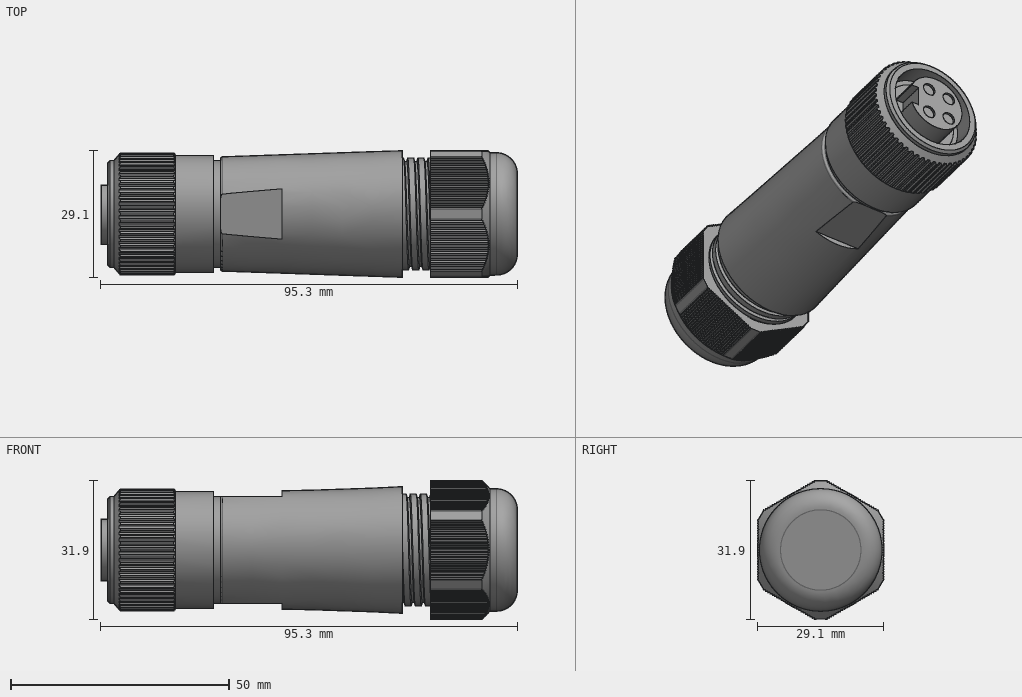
import cadquery as cq
import math


insert_radius = 7.05
insert_base_radius = 9.05
insert_base_front = 6.6
insert_end = 20.0
keyway_width = 5.0
keyway_floor_y = 4.75
contact_hole_radius = 1.55
contact_hole_depth = 0.5
contact_hole_centres = [(1.87, 3.3), (1.87, -3.3), (-3.47, 2.87), (-3.47, -2.87)]

coupling_front = 1.5
coupling_bore_radius = 10.2
lip_radius = 12.3
lip_chamfer = 0.6
lip_end = 2.95
knurl_radius = 14.0
knurl_start = 4.45
knurl_end = 16.6
knurl_groove_count = 56
knurl_groove_depth = 0.4
knurl_groove_width = 1.15
knurl_groove_floor_width = 0.5
collar_start = 17.1
collar_radius = 13.45
coupling_end = 25.8

neck_radius = 12.3
sleeve_start = 27.35
sleeve_end = 69.0
sleeve_start_radius = 13.1
sleeve_end_radius = 14.53
sleeve_fillet = 0.5
grip_flat_height = 12.3
grip_flat_end = 41.4

thread_radius = 12.85
thread_end = 86.0
thread_pitch = 2.33
thread_depth = 0.8
thread_mouth_width = 1.0
thread_root_width = 0.5
thread_first_turn = 67.4
thread_turns = 4

clamp_front = 75.4
clamp_chamfer_start = 87.25
clamp_rib_distance = 14.53
clamp_corner_distance = 15.855
dome_radius = 14.05
dome_cylinder_end = 90.5
overall_length = 95.34
rib_count = 24
rib_height = 0.28


def revolved(outline):
    """Revolve a closed (x, radius) outline about the X axis."""
    lower_half = [(x, -radius) for x, radius in outline]
    return cq.Workplane("XY").polyline(lower_half).close().revolve(360, (0, 0, 0), (1, 0, 0))


def cylinder(start, end, radius):
    return cq.Workplane("YZ", origin=(start, 0, 0)).circle(radius).extrude(end - start)


def make_insert():
    post = cylinder(0, insert_base_front, insert_radius)
    base = cylinder(insert_base_front, insert_end, insert_base_radius)
    keyway = cq.Workplane("XY").box(
        insert_base_front, insert_radius, keyway_width, centered=(False, False, True)
    ).translate((0, keyway_floor_y, 0))
    holes = (
        cq.Workplane("YZ").pushPoints(contact_hole_centres)
        .circle(contact_hole_radius).extrude(contact_hole_depth)
    )
    return post.union(base).cut(keyway).cut(holes)


def make_coupling_nut():
    outline = [
        (coupling_front, coupling_bore_radius),
        (coupling_front, lip_radius - lip_chamfer),
        (coupling_front + lip_chamfer, lip_radius),
        (lip_end, lip_radius),
        (knurl_start, knurl_radius),
        (knurl_end, knurl_radius),
        (collar_start, collar_radius),
        (coupling_end, collar_radius),
        (coupling_end, coupling_bore_radius),
    ]
    groove_profile = [
        (knurl_radius - knurl_groove_depth, -knurl_groove_floor_width / 2),
        (knurl_radius - knurl_groove_depth, knurl_groove_floor_width / 2),
        (knurl_radius, knurl_groove_width / 2),
        (knurl_radius + knurl_groove_depth, knurl_groove_width / 2),
        (knurl_radius + knurl_groove_depth, -knurl_groove_width / 2),
        (knurl_radius, -knurl_groove_width / 2),
    ]
    groove = (
        cq.Workplane("YZ", origin=(lip_end, 0, 0)).polyline(groove_profile).close()
        .extrude(collar_start - lip_end)
    )
    step_angle = 360 / knurl_groove_count
    grooves = [
        groove.rotate((0, 0, 0), (1, 0, 0), (i + 0.5) * step_angle).val() for i in range(knurl_groove_count)
    ]
    return cq.Workplane(revolved(outline).val().cut(*grooves))


def make_thread_groove():
    """Right-handed helical groove, built along Z and then turned onto the X axis."""
    groove_root_radius = thread_radius - thread_depth
    helix = cq.Wire.makeHelix(thread_pitch, thread_turns * thread_pitch, groove_root_radius)
    overshoot = 0.3
    flank_slope = (thread_mouth_width - thread_root_width) / 2 / thread_depth
    outer_half_width = thread_mouth_width / 2 + overshoot * flank_slope
    profile = [
        (groove_root_radius, -thread_root_width / 2),
        (thread_radius + overshoot, -outer_half_width),
        (thread_radius + overshoot, outer_half_width),
        (groove_root_radius, thread_root_width / 2),
    ]
    groove = cq.Workplane("XZ").polyline(profile).close().sweep(cq.Workplane(helix), isFrenet=True)
    return groove.rotate((0, 0, 0), (1, 1, 1), 120).translate((thread_first_turn, 0, 0))


def make_housing():
    front = cylinder(insert_base_front, coupling_end, coupling_bore_radius)
    neck = cylinder(coupling_end, sleeve_start, neck_radius)
    sleeve = revolved([
        (sleeve_start, 0),
        (sleeve_start, sleeve_start_radius),
        (sleeve_end, sleeve_end_radius),
        (sleeve_end, 0),
    ])
    sleeve = sleeve.faces("<X").edges().fillet(sleeve_fillet)
    for side in (1, -1):
        flat = cq.Workplane("XY").box(
            grip_flat_end - sleeve_start, 2 * sleeve_end_radius, sleeve_end_radius,
            centered=(False, True, True),
        ).translate((sleeve_start, 0, side * (grip_flat_height + sleeve_end_radius / 2)))
        sleeve = sleeve.cut(flat)
    stub_start = thread_first_turn - thread_pitch
    stub = cylinder(stub_start, thread_end, thread_radius).cut(make_thread_groove())
    socket = cylinder(insert_base_front, insert_end, insert_base_radius)
    return stub.union(sleeve).union(neck).union(front).cut(socket)


def clamp_section():
    """Hexagon with cut corners whose six sides carry V-shaped ribs."""
    flat_distance = clamp_rib_distance - rib_height
    corner = flat_distance / math.cos(math.pi / 6)
    half_side = corner / 2 - (corner - clamp_corner_distance) / math.sin(math.pi / 6)
    rib_pitch = 2 * half_side / rib_count
    points = []
    for side in range(6):
        angle = side * math.pi / 3
        for step in range(2 * rib_count + 1):
            along = -half_side + step * rib_pitch / 2
            out = clamp_rib_distance if step % 2 else flat_distance
            points.append((
                out * math.cos(angle) - along * math.sin(angle),
                out * math.sin(angle) + along * math.cos(angle),
            ))
    return points


def make_clamping_nut():
    hexagon = (
        cq.Workplane("YZ", origin=(clamp_front, 0, 0)).polyline(clamp_section()).close()
        .extrude(dome_cylinder_end - clamp_front)
    )
    chamfer_end = clamp_chamfer_start + clamp_corner_distance - dome_radius
    margin = 1.0
    envelope = revolved([
        (clamp_front, 0),
        (clamp_front, clamp_corner_distance + margin),
        (clamp_chamfer_start - margin, clamp_corner_distance + margin),
        (chamfer_end, dome_radius),
        (chamfer_end, 0),
    ])
    dome_fillet = overall_length - dome_cylinder_end
    dome = cylinder(chamfer_end, overall_length, dome_radius).faces(">X").edges().fillet(dome_fillet)
    bore = cylinder(clamp_front, thread_end, thread_radius)
    return hexagon.intersect(envelope).union(dome).cut(bore)


insert = make_insert()
coupling_nut = make_coupling_nut()
housing = make_housing()
clamping_nut = make_clamping_nut()

result = cq.Compound.makeCompound(
    [insert.val(), coupling_nut.val(), housing.val(), clamping_nut.val()]
)